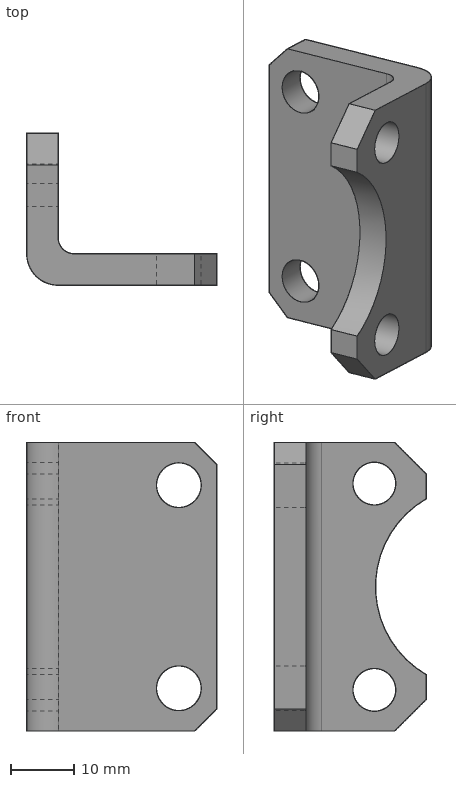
import cadquery as cq

width = 30.0
depth = 24.0
height = 45.5
thickness = 5.0
outer_bend_radius = 5.0
inner_bend_radius = 2.5

front_corner_chamfer = 3.5
front_hole_diameter = 7.0
front_hole_x = 24.0
front_hole_spacing = 32.0

side_corner_chamfer = 5.0
side_hole_diameter = 6.7
side_hole_y = 15.8
side_hole_spacing = 32.5
scallop_radius = 16.0
scallop_depth = 8.0

mid_height = height / 2


def bent_plate():
    """L-shaped section with a rounded bend, extruded over the full height."""
    outline = [
        (0, 0),
        (width, 0),
        (width, thickness),
        (thickness, thickness),
        (thickness, depth),
        (0, depth),
    ]
    plate = cq.Workplane("XY").polyline(outline).close().extrude(height)
    outer_bend = cq.selectors.NearestToPointSelector((0, 0, mid_height))
    inner_bend = cq.selectors.NearestToPointSelector((thickness, thickness, mid_height))
    plate = plate.edges("|Z").edges(outer_bend).fillet(outer_bend_radius)
    return plate.edges("|Z").edges(inner_bend).fillet(inner_bend_radius)


def chamfer_free_corners(plate):
    """Cut the top and bottom corners at the free end of each leg."""
    plate = plate.faces(">X").edges("|Y").chamfer(front_corner_chamfer)
    return plate.faces(">Y").edges("|X").chamfer(side_corner_chamfer)


def hole_heights(spacing):
    """Heights of a hole pair centred on the plate."""
    return [mid_height - spacing / 2, mid_height + spacing / 2]


def front_holes():
    """Pair of through holes along Y in the front leg."""
    centres = [(front_hole_x, z) for z in hole_heights(front_hole_spacing)]
    holes = cq.Workplane("XZ").pushPoints(centres).circle(front_hole_diameter / 2)
    return holes.extrude(-thickness)


def side_holes():
    """Pair of through holes along X in the side leg."""
    centres = [(side_hole_y, z) for z in hole_heights(side_hole_spacing)]
    holes = cq.Workplane("YZ").pushPoints(centres).circle(side_hole_diameter / 2)
    return holes.extrude(thickness)


def scallop():
    """Round clearance cut across the free edge of the side leg."""
    centre_y = depth - scallop_depth + scallop_radius
    return cq.Workplane("YZ").center(centre_y, mid_height).circle(scallop_radius).extrude(thickness)


bracket = chamfer_free_corners(bent_plate())
result = bracket.cut(front_holes()).cut(side_holes()).cut(scallop())